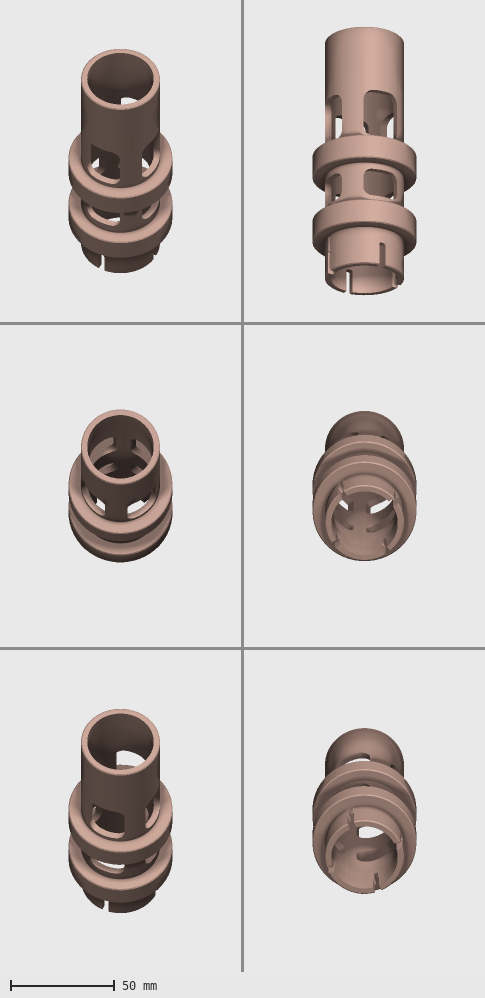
import cadquery as cq

tube_length = 125.0
tube_diameter = 38.0
bore_diameter = 32.0
edge_chamfer = 0.5

collar_diameter = 50.0
collar_height = 12.0
lower_collar_bottom = 19.1
collar_pitch = 34.0
junction_radius = 0.2
upper_collar_bottom = lower_collar_bottom + collar_pitch
lower_collar_top = lower_collar_bottom + collar_height
upper_collar_top = upper_collar_bottom + collar_height

window_width = 18.0
window_radius = 4.0
upper_window_top_radius = 5.0
lower_window_bottom = 36.0
lower_window_top = 50.0
upper_window_bottom = 67.8
upper_window_top = 91.8

slot_width = 3.2
slot_height = 11.6
slot_radius = 1.0

narrow_slot_width = 2.0

cut_length = 2 * collar_diameter


def chamfered_cylinder(diameter, height, bottom):
    """Cylinder on the Z axis with both rims chamfered."""
    cylinder = cq.Workplane("XY").workplane(offset=bottom).circle(diameter / 2).extrude(height)
    return cylinder.edges("%CIRCLE").chamfer(edge_chamfer)


def fillet_junction(body, height):
    """Fillet the inner corner between the tube and a collar face at this height."""
    reach = tube_diameter / 2 + junction_radius
    tube_edges = cq.selectors.BoxSelector(
        (-reach, -reach, height - junction_radius),
        (reach, reach, height + junction_radius),
        boundingbox=True,
    )
    return body.edges(tube_edges).fillet(junction_radius)


def cross_bar(width, bottom, top):
    """Bar along Y, centred on the Z axis, that cuts the front and back walls."""
    bar = cq.Workplane("XY").box(width, cut_length, top - bottom, centered=(True, True, False))
    return bar.translate((0, 0, bottom))


def window_bar(bottom, top, top_radius):
    """Bar along Y with rounded corners that cuts a pair of opposite windows."""
    bar = cross_bar(window_width, bottom, top)
    bar = bar.faces("<Z").edges("|Y").fillet(window_radius)
    return bar.faces(">Z").edges("|Y").fillet(top_radius)


def cut_four_sides(body, bar):
    """Cut a bar along Y, then the same bar along X."""
    for angle in (0, 90):
        body = body.cut(bar.rotate((0, 0, 0), (0, 0, 1), angle))
    return body


result = chamfered_cylinder(tube_diameter, tube_length, 0)
for collar_bottom in (lower_collar_bottom, upper_collar_bottom):
    result = result.union(chamfered_cylinder(collar_diameter, collar_height, collar_bottom))
for junction_height in (lower_collar_top, upper_collar_bottom, upper_collar_top):
    result = fillet_junction(result, junction_height)
bore = cq.Workplane("XY").circle(bore_diameter / 2).extrude(tube_length)
result = result.cut(bore)

result = cut_four_sides(result, window_bar(lower_window_bottom, lower_window_top, window_radius))
result = cut_four_sides(result, window_bar(upper_window_bottom, upper_window_top, upper_window_top_radius))

slot = cross_bar(slot_width, 0, slot_height).faces(">Z").edges("|Y").fillet(slot_radius)
result = cut_four_sides(result, slot)

result = result.cut(cross_bar(narrow_slot_width, 0, lower_collar_bottom))